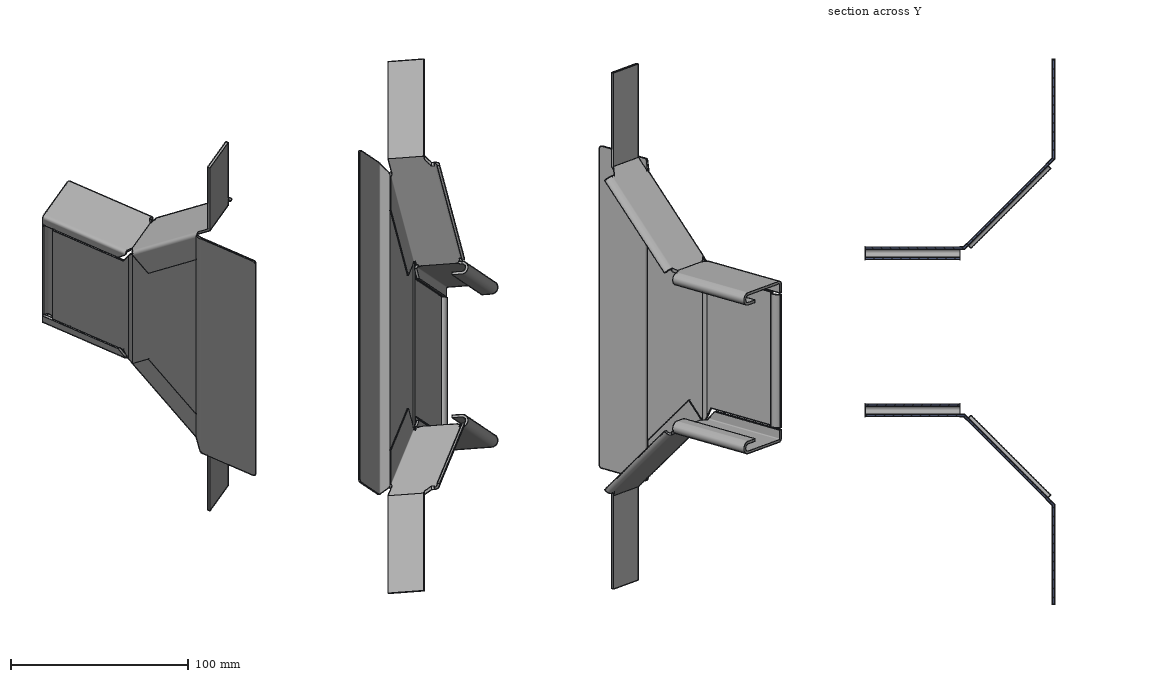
import cadquery as cq
import math


length = 140.3
height = 36.5
half_span = 154.0

plate_thickness = 1.0
panel_level = 4.3
panel_half_width = 39.8
slope_start_x = 99.5
flange_start_x = 104.5
flange_bend_radius = 2.5
flange_edge_x = 105.0
flange_half_width = 96.2
flange_corner_radius = 2.0
seat_margin = 3.0
neck_start_x = 52.5
neck_end_x = 56.0
end_bead_x = 3.7
end_bead_half_width = 2.8
end_bead_depth = 2.2
fold_bead_x = 57.0
fold_bead_half_width = 1.4
fold_bead_depth = 0.45

rail_thickness = 1.5
rail_outer_z = 48.0
rail_bend_x = 55.5
strap_x = 105.7
strap_top = 27.7
base_bend_radius = 2.2
lip_bend_radius = 3.7
lip_length = 6.0
channel_strip_width = 7.0
channel_end_x = 53.5
channel_strip_cut_x = 49.0
wing_start = 2.5
wing_strip_width = 16.0
wing_lip_end_x = 102.3
strap_shoulder = 30.8
corner_low = 9.2
corner_high = 30.0

wall_low = panel_level + base_bend_radius
wall_high = height - lip_bend_radius
diagonal = math.sqrt(2)
cos_45 = 1 / diagonal


def mirrored(points):
    """Close a half outline given in the upper Z half with its mirror image."""
    return points + [(x, -z) for x, z in reversed(points)]


def prism_along_y(points, low, high):
    """Extrude an XZ outline between two heights."""
    return cq.Workplane("XZ", origin=(0, low, 0)).polyline(points).close().extrude(low - high)


def wing_point(along, inward):
    """XZ point on the upper wing, from the wall corner along the wing and inward from its face."""
    return (
        rail_bend_x + (along + inward) / diagonal,
        rail_outer_z + (along - inward) / diagonal,
    )


def wing_strip_outline(outward_margin):
    """XZ outline of the wing base strip, which ends where the plate starts to slope."""
    outer_offset = rail_outer_z - rail_bend_x + outward_margin * diagonal
    inner_offset = rail_outer_z - rail_bend_x - wing_strip_width * diagonal
    return [
        wing_point(wing_start, -outward_margin),
        wing_point(wing_start, wing_strip_width),
        (slope_start_x, slope_start_x + inner_offset),
        (slope_start_x, slope_start_x + outer_offset),
    ]



def bead_arc(centre_x, half_width, depth, offset):
    """Start, top and end of a round bead on the outer face (offset 0) or a concentric face."""
    radius = (half_width**2 + depth**2) / (2 * depth)
    centre_y = panel_level + depth - radius
    reach = math.sqrt((radius + offset) ** 2 - (panel_level + offset - centre_y) ** 2)
    return (
        (centre_x - reach, panel_level + offset),
        (centre_x, panel_level + depth + offset),
        (centre_x + reach, panel_level + offset),
    )


def plate_section():
    """Folded sheet section in XY, extruded over the full plate width."""
    inner_level = panel_level + plate_thickness
    slope_angle = math.atan2(panel_level, flange_start_x - slope_start_x)
    bend_shift = plate_thickness * math.tan(slope_angle / 2)
    outer_bend = (flange_start_x, 0, 0)
    inner_bend = (flange_start_x + bend_shift, plate_thickness, 0)
    end_bead = (end_bead_x, end_bead_half_width, end_bead_depth)
    fold_bead = (fold_bead_x, fold_bead_half_width, fold_bead_depth)
    end_outer = bead_arc(*end_bead, 0)
    end_inner = bead_arc(*end_bead, plate_thickness)
    fold_outer = bead_arc(*fold_bead, 0)
    fold_inner = bead_arc(*fold_bead, plate_thickness)
    section = (
        cq.Workplane("XY", origin=(0, 0, -flange_half_width))
        .moveTo(0, panel_level)
        .lineTo(*end_outer[0])
        .threePointArc(end_outer[1], end_outer[2])
        .lineTo(*fold_outer[0])
        .threePointArc(fold_outer[1], fold_outer[2])
        .lineTo(slope_start_x, panel_level)
        .lineTo(flange_start_x, 0)
        .lineTo(length, 0)
        .lineTo(length, plate_thickness)
        .lineTo(flange_start_x + bend_shift, plate_thickness)
        .lineTo(slope_start_x + bend_shift, inner_level)
        .lineTo(*fold_inner[2])
        .threePointArc(fold_inner[1], fold_inner[0])
        .lineTo(*end_inner[2])
        .threePointArc(end_inner[1], end_inner[0])
        .lineTo(0, inner_level)
        .close()
        .extrude(2 * flange_half_width)
    )
    section = section.edges(cq.NearestToPointSelector(outer_bend)).fillet(flange_bend_radius)
    return section.edges(cq.NearestToPointSelector(inner_bend)).fillet(
        flange_bend_radius - plate_thickness
    )


def make_plate():
    wing_edge_offset = flange_edge_x - flange_half_width
    outline = mirrored([
        (0, panel_half_width),
        (neck_start_x, panel_half_width),
        (neck_end_x, neck_end_x - wing_edge_offset),
        (flange_edge_x, flange_half_width),
        (length, flange_half_width),
    ])
    blank = prism_along_y(outline, 0, height)
    blank = blank.edges("|Y and >X").fillet(flange_corner_radius)
    strip_seat = prism_along_y(wing_strip_outline(seat_margin), 0, height)
    return plate_section().intersect(blank).cut(strip_seat).cut(strip_seat.mirror("XY"))



def rail_walls():
    """Standing walls and strap: bent strip in XZ, trimmed to its XY outline."""
    wing_rise = strap_x - rail_bend_x
    strap_start_z = rail_outer_z + wing_rise
    shift = rail_thickness * math.tan(math.radians(22.5))
    strip = prism_along_y([
        (0, rail_outer_z),
        (rail_bend_x, rail_outer_z),
        (strap_x, strap_start_z),
        (strap_x, half_span),
        (strap_x + rail_thickness, half_span),
        (strap_x + rail_thickness, strap_start_z - shift),
        (rail_bend_x + shift, rail_outer_z - rail_thickness),
        (0, rail_outer_z - rail_thickness),
    ], wall_low, wall_high)
    wing_start_x = wing_point(wing_start, 0)[0]
    trim = (
        cq.Workplane("XY")
        .polyline([
            (0, wall_low),
            (channel_end_x, wall_low),
            (rail_bend_x, corner_low),
            (wing_start_x, wall_low),
            (length, wall_low),
            (length, strap_top),
            (strap_x, strap_top),
            (wing_lip_end_x, strap_shoulder),
            (wing_lip_end_x, wall_high),
            (wing_start_x, wall_high),
            (rail_bend_x, corner_high),
            (channel_end_x, wall_high),
            (0, wall_high),
        ])
        .close()
        .extrude(half_span)
    )
    return strip.intersect(trim)


def base_strip(plane, width, run):
    """Bend at the foot of a wall with its flat strip; local axes are height and outward."""
    inner_radius = base_bend_radius - rail_thickness
    return (
        cq.Workplane(plane)
        .moveTo(wall_low, 0)
        .threePointArc(
            (wall_low - base_bend_radius * cos_45, -base_bend_radius * (1 - cos_45)),
            (panel_level, -base_bend_radius),
        )
        .lineTo(panel_level, -width)
        .lineTo(panel_level + rail_thickness, -width)
        .lineTo(panel_level + rail_thickness, -base_bend_radius)
        .threePointArc(
            (wall_low - inner_radius * cos_45, -base_bend_radius + inner_radius * cos_45),
            (wall_low, -rail_thickness),
        )
        .close()
        .extrude(run)
    )


def channel_lip():
    """Half-round return bend with a straight lip."""
    inner_radius = lip_bend_radius - rail_thickness
    far_side = -2 * lip_bend_radius
    return (
        cq.Workplane("YZ")
        .moveTo(wall_high, rail_outer_z)
        .threePointArc(
            (height, rail_outer_z - lip_bend_radius),
            (wall_high, rail_outer_z + far_side),
        )
        .lineTo(wall_high - lip_length, rail_outer_z + far_side)
        .lineTo(wall_high - lip_length, rail_outer_z + far_side + rail_thickness)
        .lineTo(wall_high, rail_outer_z + far_side + rail_thickness)
        .threePointArc(
            (wall_high + inner_radius, rail_outer_z - lip_bend_radius),
            (wall_high, rail_outer_z - rail_thickness),
        )
        .close()
        .extrude(channel_end_x)
    )


def wing_lip(plane, run):
    """Quarter-round bend along the free edge of the wing wall."""
    inner_radius = lip_bend_radius - rail_thickness
    return (
        cq.Workplane(plane)
        .moveTo(wall_high, 0)
        .threePointArc(
            (wall_high + lip_bend_radius * cos_45, -lip_bend_radius * (1 - cos_45)),
            (height, -lip_bend_radius),
        )
        .lineTo(height - rail_thickness, -lip_bend_radius)
        .threePointArc(
            (wall_high + inner_radius * cos_45, -lip_bend_radius + inner_radius * cos_45),
            (wall_high, -rail_thickness),
        )
        .close()
        .extrude(run)
    )


def channel_strip():
    """Base strip of the channel wall with its end cut back at an angle."""
    plane = cq.Plane(origin=(0, 0, rail_outer_z), xDir=(0, 1, 0), normal=(1, 0, 0))
    end_cut = prism_along_y([
        (channel_end_x, rail_outer_z - base_bend_radius),
        (channel_end_x, rail_outer_z - channel_strip_width),
        (channel_strip_cut_x, rail_outer_z - channel_strip_width),
    ], 0, wall_low)
    return base_strip(plane, channel_strip_width, channel_end_x).cut(end_cut)


def make_upper_rail():
    start_x, start_z = wing_point(wing_start, 0)
    wing_plane = cq.Plane(origin=(start_x, 0, start_z), xDir=(0, 1, 0), normal=(1, 0, 1))
    lip_run = (wing_lip_end_x - start_x) * diagonal
    wing_strip = base_strip(wing_plane, wing_strip_width, half_span)
    wing_strip = wing_strip.intersect(prism_along_y(wing_strip_outline(0), 0, height))
    return (
        rail_walls()
        .union(channel_strip())
        .union(channel_lip())
        .union(wing_strip)
        .union(wing_lip(wing_plane, lip_run))
    )


plate = make_plate()
upper_rail = make_upper_rail()
rails = [upper_rail, upper_rail.mirror("XY")]

bodies = [plate, *rails]
result = cq.Compound.makeCompound([body.solids().val() for body in bodies])